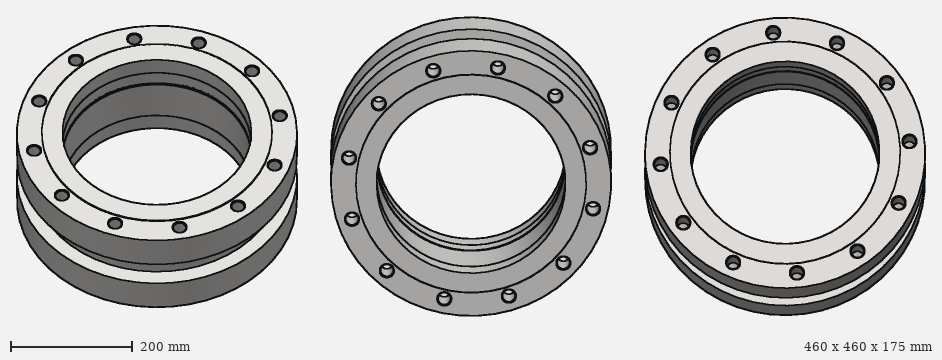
import cadquery as cq
import math

outer_diameter = 460.0
total_height = 175.0
waist_diameter = 410.0
flange_thickness = 61.25

raised_face_diameter = 378.0
raised_face_height = 2.0

bore_end_diameter = 310.0
bore_middle_diameter = 309.7
bore_end_depth = 33.0

seal_crest_diameter = 310.0
seal_section_diameter = 4.0
seal_top_depth = 59.2

bolt_count = 12
bolt_circle_diameter = 410.0
bolt_hole_diameter = 20.75
bolt_chamfer_diameter = 24.0
bolt_hole_depth = 40.0
drill_point_angle = 120.0

half_height = total_height / 2
flange_face_z = half_height - raised_face_height
flange_back_z = flange_face_z - flange_thickness


def cylinder(diameter, bottom_z, top_z):
    """Solid cylinder about Z between two heights."""
    return cq.Workplane("XY").workplane(offset=bottom_z).circle(diameter / 2).extrude(top_z - bottom_z)


def make_outer_body():
    body = cylinder(raised_face_diameter, -half_height, half_height)
    body = body.union(cylinder(waist_diameter, -flange_back_z, flange_back_z))
    body = body.union(cylinder(outer_diameter, flange_back_z, flange_face_z))
    return body.union(cylinder(outer_diameter, -flange_face_z, -flange_back_z))


def make_bore():
    bore = cylinder(bore_middle_diameter, -half_height, half_height)
    bore = bore.union(cylinder(bore_end_diameter, half_height - bore_end_depth, half_height))
    bore = bore.union(cylinder(bore_end_diameter, -half_height, bore_end_depth - half_height))
    return bore


def make_seal_recess():
    """Cutter for the bore recess around the seal ring, leaving the inner half of its round section."""
    section_radius = seal_section_diameter / 2
    crest_radius = seal_crest_diameter / 2
    center_radius = crest_radius + section_radius
    inner_radius = bore_middle_diameter / 2
    top_z = half_height - seal_top_depth
    bottom_z = top_z - seal_section_diameter
    return (
        cq.Workplane("XZ")
        .moveTo(inner_radius, top_z)
        .lineTo(center_radius, top_z)
        .threePointArc((crest_radius, top_z - section_radius), (center_radius, bottom_z))
        .lineTo(inner_radius, bottom_z)
        .close()
        .revolve(360, (0, 0, 0), (0, 1, 0))
    )


def make_bolt_hole():
    """Cutter for a chamfered blind hole with a drill point, opening at the upper flange face."""
    radius = bolt_hole_diameter / 2
    mouth_radius = bolt_chamfer_diameter / 2
    chamfer = mouth_radius - radius
    point_length = radius / math.tan(math.radians(drill_point_angle / 2))
    profile = [
        (0, 0),
        (mouth_radius, 0),
        (radius, -chamfer),
        (radius, -bolt_hole_depth),
        (0, -bolt_hole_depth - point_length),
    ]
    cutter = cq.Workplane("XZ").polyline(profile).close().revolve(360, (0, 0, 0), (0, 1, 0))
    return cutter.translate((bolt_circle_diameter / 2, 0, flange_face_z))


def drill_bolt_holes(body):
    upper_hole = make_bolt_hole()
    pitch_angle = 360 / bolt_count
    for index in range(bolt_count):
        hole = upper_hole.rotate((0, 0, 0), (0, 0, 1), (index + 0.5) * pitch_angle)
        body = body.cut(hole).cut(hole.mirror("XY"))
    return body


ring_body = make_outer_body().cut(make_bore()).cut(make_seal_recess())
result = drill_bolt_holes(ring_body)